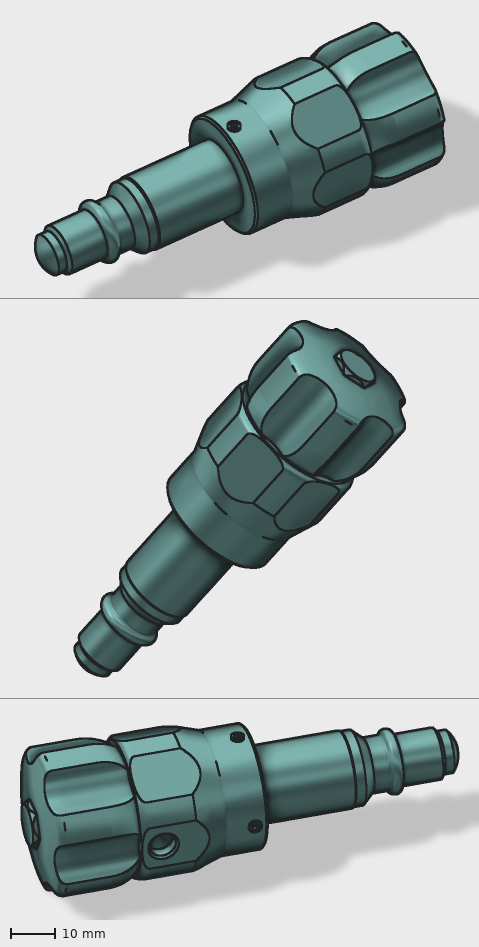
import cadquery as cq
import math

OVERALL_LENGTH = 101.1

NOSE_RADIUS = 10.0 / 2
DOME_HEIGHT = 2.0
NOSE_END = 4.1
PILOT_RADIUS = 12.0 / 2
PILOT_START = 5.0
BEAD_RADIUS = 7.6
BEAD_START = 14.4
BEAD_END = 17.3
NECK_RADIUS = 12.9 / 2
BEAD_FILLET = 0.7
NECK_END = 21.3
COLLAR_RADIUS = 17.5 / 2
COLLAR_START = 23.9
SHAFT_RADIUS = 18.0 / 2
SHAFT_START = 26.2

BODY_START = 48.5
BODY_END = 78.8
BODY_RADIUS = 17.0
BODY_FLAT_DISTANCE = 16.0
BODY_CONE_START = 58.4
BODY_CONE_END = 65.9
BODY_ROUND_LENGTH = 2.0
BODY_ROUND_DEPTH = 1.2
SLEEVE_RADIUS = 29.0 / 2
SLEEVE_CHAMFER = 0.5

KNOB_RADIUS = 17.5
KNOB_NECK_RADIUS = 15.0
KNOB_TAPER_END = 85.8
KNOB_RIM_START = 96.5
KNOB_RIM_END = 98.1
KNOB_RIM_RADIUS = 16.0
KNOB_FACE = 99.7
KNOB_FACE_RADIUS = 5.1
KNOB_DOME_MID_RADIUS = 11.3
KNOB_DOME_MID = 99.1
SCALLOP_WIDTH = 11.1
SCALLOP_FLOOR_RADIUS = 13.8
SIDE_COUNT = 6

BUTTON_ACROSS_FLATS = 10.0
BUTTON_TOP_RADIUS = 4.9

HOLE_DIAMETER = 6.1
HOLE_MOUTH_DIAMETER = 7.2
HOLE_DEPTH = 3.0
HOLE_STATION = 73.6
DRILL_POINT_ANGLE = 118.0

SCREW_DIAMETER = 3.0
SCREW_STATION = 51.7
SCREW_PROTRUSION = 0.3
SCREW_LENGTH = 3.0
SOCKET_DIAMETER = 1.8
SOCKET_DEPTH = 1.2


def revolve_about_y(profile):
    return profile.close().revolve(360, (0, 0, 0), (0, 1, 0))


def along_y(start):
    """XZ sketch plane at station start, extruding toward +Y with local x along +X."""
    return cq.Workplane(cq.Plane(origin=(0, start, 0), xDir=(1, 0, 0), normal=(0, 1, 0)))


def spin(solid, angle):
    return solid.rotate((0, 0, 0), (0, 1, 0), angle)


def make_stem():
    sphere_radius = (NOSE_RADIUS**2 + DOME_HEIGHT**2) / (2 * DOME_HEIGHT)
    mid_radius = NOSE_RADIUS / 2
    mid_station = sphere_radius - math.sqrt(sphere_radius**2 - mid_radius**2)
    bead_round = (BEAD_END - BEAD_START) / 2
    bead_centre_radius = BEAD_RADIUS - bead_round
    bead_centre = BEAD_START + bead_round

    centre_distance = bead_round + BEAD_FILLET
    radial_offset = NECK_RADIUS + BEAD_FILLET - bead_centre_radius
    axial_offset = math.sqrt(centre_distance**2 - radial_offset**2)
    touch_radius = bead_centre_radius + radial_offset * bead_round / centre_distance
    touch_station = bead_centre + axial_offset * bead_round / centre_distance
    fillet_end = bead_centre + axial_offset

    profile = (
        cq.Workplane("XY")
        .moveTo(0, 0)
        .threePointArc((mid_radius, mid_station), (NOSE_RADIUS, DOME_HEIGHT))
        .lineTo(NOSE_RADIUS, NOSE_END)
        .lineTo(PILOT_RADIUS, PILOT_START)
        .lineTo(PILOT_RADIUS, BEAD_START)
        .lineTo(bead_centre_radius, BEAD_START)
        .threePointArc((BEAD_RADIUS, bead_centre), (touch_radius, touch_station))
        .tangentArcPoint((NECK_RADIUS, fillet_end), relative=False)
        .lineTo(NECK_RADIUS, NECK_END)
        .lineTo(COLLAR_RADIUS, COLLAR_START)
        .lineTo(COLLAR_RADIUS, SHAFT_START)
        .lineTo(SHAFT_RADIUS, SHAFT_START + SHAFT_RADIUS - COLLAR_RADIUS)
        .lineTo(SHAFT_RADIUS, BODY_END)
        .lineTo(0, BODY_END)
    )
    return revolve_about_y(profile)


def make_body():
    profile = (
        cq.Workplane("XY")
        .moveTo(0, BODY_START)
        .lineTo(SLEEVE_RADIUS - SLEEVE_CHAMFER, BODY_START)
        .lineTo(SLEEVE_RADIUS, BODY_START + SLEEVE_CHAMFER)
        .lineTo(SLEEVE_RADIUS, BODY_CONE_START)
        .lineTo(BODY_RADIUS, BODY_CONE_END)
        .lineTo(BODY_RADIUS, BODY_END - BODY_ROUND_LENGTH)
        .tangentArcPoint((BODY_RADIUS - BODY_ROUND_DEPTH, BODY_END), relative=False)
        .lineTo(0, BODY_END)
    )
    prism = along_y(BODY_START).polygon(SIDE_COUNT, 2 * BODY_FLAT_DISTANCE, circumscribed=True)
    prism = prism.extrude(BODY_END - BODY_START)
    return revolve_about_y(profile).intersect(prism)


def make_knob():
    profile = (
        cq.Workplane("XY")
        .moveTo(KNOB_RADIUS, KNOB_RIM_START)
        .lineTo(KNOB_RADIUS, KNOB_TAPER_END)
        .tangentArcPoint((KNOB_NECK_RADIUS, BODY_END), relative=False)
        .lineTo(0, BODY_END)
        .lineTo(0, KNOB_FACE)
        .lineTo(KNOB_FACE_RADIUS, KNOB_FACE)
        .threePointArc((KNOB_DOME_MID_RADIUS, KNOB_DOME_MID), (KNOB_RIM_RADIUS, KNOB_RIM_END))
        .tangentArcPoint((KNOB_RADIUS, KNOB_RIM_START), relative=False)
    )
    knob = revolve_about_y(profile)

    half_width = SCALLOP_WIDTH / 2
    edge_distance = math.sqrt(KNOB_RADIUS**2 - half_width**2)
    scallop_depth = edge_distance - SCALLOP_FLOOR_RADIUS
    scallop_radius = (half_width**2 + scallop_depth**2) / (2 * scallop_depth)
    cutter = along_y(BODY_END).center(SCALLOP_FLOOR_RADIUS + scallop_radius, 0)
    cutter = cutter.circle(scallop_radius).extrude(OVERALL_LENGTH - BODY_END)
    for side in range(SIDE_COUNT):
        knob = knob.cut(spin(cutter, side * 360 / SIDE_COUNT))
    return knob


def make_button():
    height = OVERALL_LENGTH - KNOB_FACE
    corner_radius = BUTTON_ACROSS_FLATS / 2 / math.cos(math.pi / SIDE_COUNT)
    prism = along_y(KNOB_FACE).polygon(SIDE_COUNT, 2 * corner_radius).extrude(height)
    cone_profile = (
        cq.Workplane("XY")
        .moveTo(0, KNOB_FACE)
        .lineTo(corner_radius, KNOB_FACE)
        .lineTo(BUTTON_TOP_RADIUS, OVERALL_LENGTH)
        .lineTo(0, OVERALL_LENGTH)
    )
    return prism.intersect(revolve_about_y(cone_profile))


def make_radial_hole():
    """Countersunk blind hole with a drill point, entering along +X."""
    radius = HOLE_DIAMETER / 2
    mouth_radius = HOLE_MOUTH_DIAMETER / 2
    point_length = radius / math.tan(math.radians(DRILL_POINT_ANGLE / 2))
    profile = (
        cq.Workplane("XY", origin=(-BODY_FLAT_DISTANCE, HOLE_STATION, 0))
        .moveTo(0, 0)
        .lineTo(0, mouth_radius)
        .lineTo(mouth_radius - radius, radius)
        .lineTo(HOLE_DEPTH, radius)
        .lineTo(HOLE_DEPTH + point_length, 0)
        .close()
    )
    return profile.revolve(360, (0, 0, 0), (1, 0, 0))


def add_set_screw(solid, direction):
    head_distance = SLEEVE_RADIUS + SCREW_PROTRUSION
    head = cq.Vector(*direction) * head_distance + cq.Vector(0, SCREW_STATION, 0)
    inward = cq.Workplane(cq.Plane(origin=head, xDir=(0, 1, 0), normal=-cq.Vector(*direction)))
    screw = inward.circle(SCREW_DIAMETER / 2).extrude(SCREW_LENGTH)
    socket = inward.polygon(SIDE_COUNT, SOCKET_DIAMETER).extrude(SOCKET_DEPTH)
    return solid.union(screw).cut(socket)


result = make_stem().union(make_body()).union(make_knob()).union(make_button())
result = result.cut(make_radial_hole())
for screw_direction in ((-1, 0, 0), (0, 0, 1)):
    result = add_set_screw(result, screw_direction)